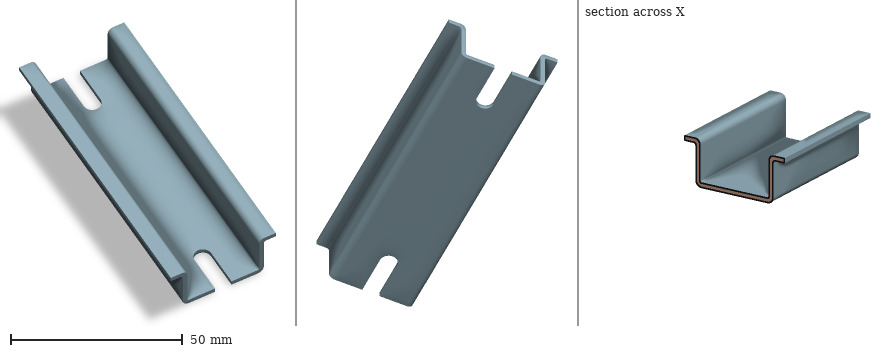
import cadquery as cq

length = 91.0
overall_width = 35.0
height = 15.0
thickness = 1.5
channel_outer_width = 27.0

floor_inner_bend = 0.5
floor_outer_bend = floor_inner_bend + thickness

flange_inner_bend = 0.8
flange_outer_bend = 1.8

slot_width = 5.5
slot_depth = 15.0

rim = overall_width / 2
wall_outside = channel_outer_width / 2
wall_inside = wall_outside - thickness
flange_underside = height - thickness

pick_margin = 0.01


def hat_outline():
    """Closed, sharp-cornered hat section in the YZ plane."""
    right_half = [
        (wall_outside, 0),
        (wall_outside, flange_underside),
        (rim, flange_underside),
        (rim, height),
        (wall_inside, height),
        (wall_inside, thickness),
    ]
    left_half = [(-y, z) for y, z in reversed(right_half)]
    return right_half + left_half


def round_corner_pair(body, y, z, radius):
    """Fillet the two lengthwise edges that lie at +y and -y on level z."""
    for edge_y in (-y, y):
        corner = cq.selectors.BoxSelector(
            (-length, edge_y - pick_margin, z - pick_margin),
            (length, edge_y + pick_margin, z + pick_margin),
        )
        body = body.edges("|X").edges(corner).fillet(radius)
    return body


def make_rail():
    """Extrude the hat section along X and round both sides of its four bends."""
    body = cq.Workplane("YZ").polyline(hat_outline()).close().extrude(length / 2, both=True)
    body = round_corner_pair(body, wall_outside, 0, floor_outer_bend)
    body = round_corner_pair(body, wall_inside, thickness, floor_inner_bend)
    body = round_corner_pair(body, wall_outside, flange_underside, flange_inner_bend)
    return round_corner_pair(body, wall_inside, height, flange_outer_bend)


def end_slot(side):
    """Cutter for the round-ended slot open to the rail end on the given side (+1 or -1)."""
    slot_radius = slot_width / 2
    rail_end = side * length / 2
    arc_start = rail_end - side * (slot_depth - slot_radius)
    slot_bottom = rail_end - side * slot_depth
    return (
        cq.Workplane("XY")
        .moveTo(rail_end, -slot_radius)
        .lineTo(arc_start, -slot_radius)
        .threePointArc((slot_bottom, 0), (arc_start, slot_radius))
        .lineTo(rail_end, slot_radius)
        .close()
        .extrude(thickness)
    )


result = make_rail()
for side in (-1, 1):
    result = result.cut(end_slot(side))